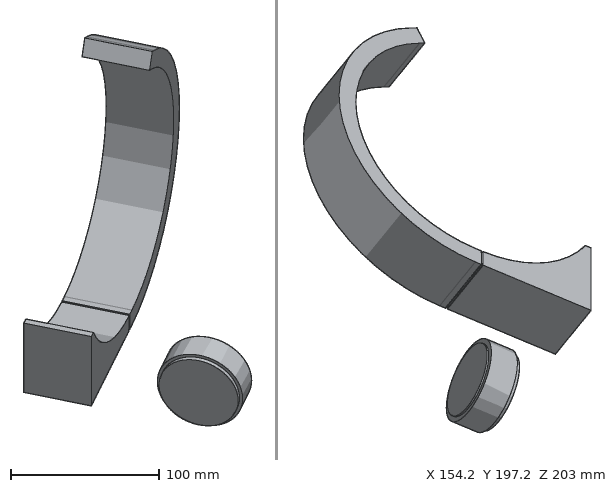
import cadquery as cq
import math

total_length_x = 154.2
total_length_y = 197.2
total_height = 203.0

strap_width = 48.0
outer_radius = 106.6
strap_thickness = 13.2
inner_radius = outer_radius - strap_thickness
strap_flat = 4.7
end_angle = math.atan(strap_flat / outer_radius) + math.acos(
    (total_height - outer_radius) / math.hypot(outer_radius, strap_flat)
)
strap_center_y = total_length_y - outer_radius

joint_gap = 1.5
strap_joint_y = strap_center_y - strap_flat
block_length = strap_joint_y - joint_gap
block_height = 60.5

joint_inset = 1.0

puck_radius = block_height / 2
puck_depth = 20.3
front_disc_radius = 28.0
front_disc_depth = 3.0
rear_boss_radius = 26.6
rear_boss_depth = 1.2
puck_x = total_length_x - puck_radius


def strap_point(radius, angle):
    """(Y, Z) of a point on the strap arc, at an angle from +Z towards +Y."""
    return (
        strap_center_y + radius * math.sin(angle),
        outer_radius + radius * math.cos(angle),
    )


def strap_end_point(radius):
    """(Y, Z) of a corner at the free end, where the strap runs on straight past its arc."""
    arc_y, arc_z = strap_point(radius, end_angle)
    return (
        arc_y - strap_flat * math.cos(end_angle),
        arc_z + strap_flat * math.sin(end_angle),
    )


def make_strap():
    """Open hoop of rectangular section with a short straight stretch at each end."""
    mid_angle = (end_angle + math.pi) / 2
    return (
        cq.Workplane("YZ")
        .moveTo(strap_joint_y, 0)
        .lineTo(*strap_point(outer_radius, math.pi))
        .threePointArc(strap_point(outer_radius, mid_angle), strap_point(outer_radius, end_angle))
        .lineTo(*strap_end_point(outer_radius))
        .lineTo(*strap_end_point(inner_radius))
        .lineTo(*strap_point(inner_radius, end_angle))
        .threePointArc(strap_point(inner_radius, mid_angle), strap_point(inner_radius, math.pi))
        .lineTo(strap_joint_y, strap_thickness)
        .close()
        .extrude(strap_width)
    )


def make_block():
    """Block whose top is hollowed by a cylinder of the strap's inner radius."""
    hollow = (
        cq.Workplane("YZ")
        .center(strap_joint_y, outer_radius)
        .circle(inner_radius)
        .extrude(strap_width)
    )
    return cq.Workplane("XY").box(strap_width, block_length, block_height, centered=False).cut(hollow)


def make_joint_plate():
    """Thin plate between the block and the lower end of the strap."""
    plate_height = strap_thickness - 2 * joint_inset
    return cq.Workplane("XY", origin=(0, block_length, joint_inset)).box(
        strap_width, joint_gap, plate_height, centered=False
    )


def make_disc(radius, front_y, depth):
    """Disc on the puck axis, running towards +Y from its front face."""
    return (
        cq.Workplane("XZ", origin=(puck_x, front_y, puck_radius))
        .circle(radius)
        .extrude(-depth)
    )


def make_puck():
    """Puck behind the front disc, with a low boss on its rear face."""
    boss_y = front_disc_depth + puck_depth
    body = make_disc(puck_radius, front_disc_depth, puck_depth)
    return body.union(make_disc(rear_boss_radius, boss_y, rear_boss_depth))


strap = make_strap()
block = make_block()
joint_plate = make_joint_plate()
front_disc = make_disc(front_disc_radius, 0, front_disc_depth)
puck = make_puck()

result = cq.Compound.makeCompound(
    [strap.val(), block.val(), joint_plate.val(), front_disc.val(), puck.val()]
)